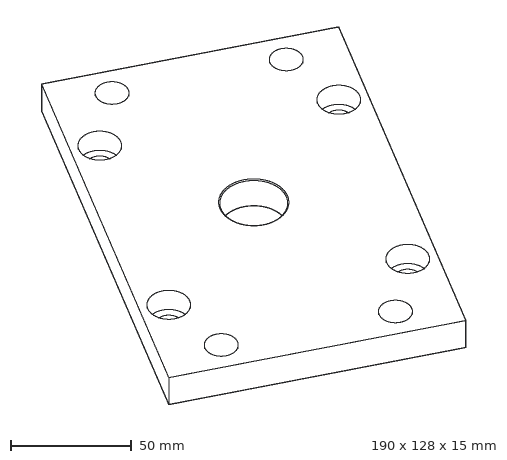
import cadquery as cq

length = 190.0
width = 128.0
thickness = 15.0

bore_diameter = 28.1
bore_chamfer = 0.5

plain_diameter = 14.0
plain_spacing_x = 163.0
plain_spacing_y = 75.0

screw_diameter = 11.0
counterbore_diameter = 18.0
counterbore_depth = 10.6
screw_spacing = 103.0

plate = cq.Workplane("XY").box(length, width, thickness, centered=(True, True, False))

plate = plate.faces(">Z").workplane().hole(bore_diameter)
plate = plate.edges("%CIRCLE").chamfer(bore_chamfer)

plate = (
    plate.faces(">Z").workplane(origin=(0, 0, thickness))
    .rarray(plain_spacing_x, plain_spacing_y, 2, 2)
    .hole(plain_diameter)
)

plate = (
    plate.faces(">Z").workplane(origin=(0, 0, thickness))
    .rarray(screw_spacing, screw_spacing, 2, 2)
    .cboreHole(screw_diameter, counterbore_diameter, counterbore_depth)
)

result = plate